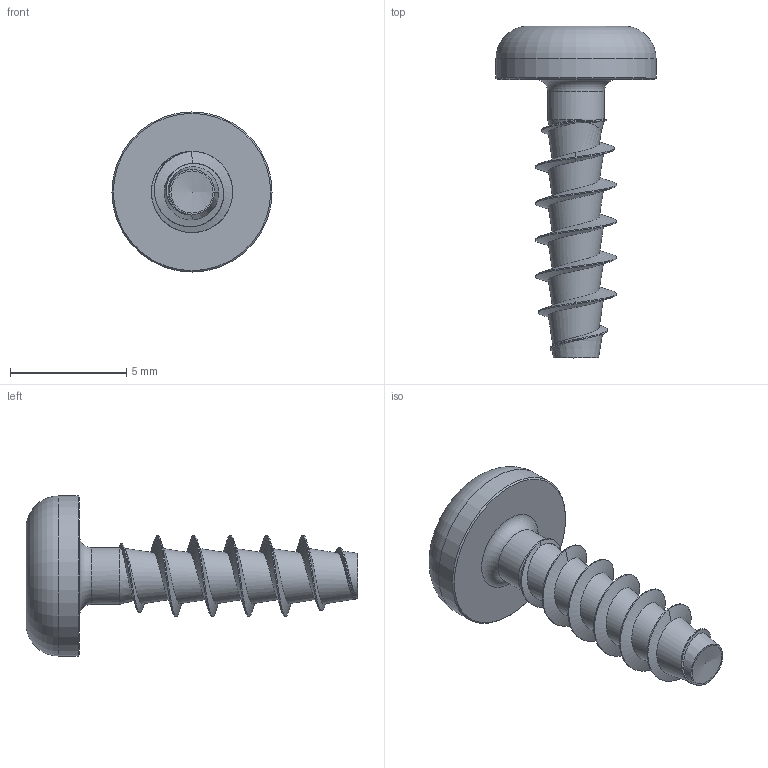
import cadquery as cq
import math


HEAD_DIAMETER = 6.9
HEAD_HEIGHT = 2.3
HEAD_CROWN_RADIUS = 1.4
HEAD_EDGE_CHAMFER = 0.06

SCREW_LENGTH = 12.0
SHANK_RADIUS = 1.225
SHANK_LENGTH = 1.73
NECK_FILLET = 0.5
CORE_RADIUS = 0.99
TIP_RADIUS = 0.975
TIP_DISH_RADIUS = 0.905
TIP_DISH_DEPTH = 0.1
TIP_ALLOWANCE = 0.2
RUN_IN_LENGTH = 0.9

PITCH = 1.57
CREST_RADIUS = 1.75
CREST_WIDTH = 0.05
FLANK_ANGLE = 15.0
THREAD_DEPTH = 0.8
TAPER_TURNS = 1.5
THREAD_TURNS = 7.0
LEAD_IN_TURNS = 0.5
LEAD_IN_RISE = 0.1
CREST_START_RADIUS = 1.22

RAMP_SLOPE = 0.155
RAMP_TOP_RADIUS = TIP_RADIUS + RAMP_SLOPE * PITCH
RAMP_LENGTH = 0.93 * PITCH
RAMP_INNER_RADIUS = 0.85

SPLINE_POINTS_PER_TURN = 24


def revolve_about_y(profile):
    return profile.close().revolve(360, (0, 0, 0), (0, 1, 0))


def helix_point(turns, axial_offset, radius):
    """Point on the helix, with turns counted from the tip, where the helix starts at -Z."""
    angle = -math.pi / 2 - 2 * math.pi * turns
    y = -SCREW_LENGTH + PITCH * turns + axial_offset
    return cq.Vector(radius * math.cos(angle), y, radius * math.sin(angle))


def helix_edge(first_turn, last_turn, first_corner, last_corner):
    """Helical edge whose axial offset and radius change evenly from one corner to the other."""
    steps = math.ceil((last_turn - first_turn) * SPLINE_POINTS_PER_TURN)
    points = []
    for step in range(steps + 1):
        share = step / steps
        turns = first_turn + share * (last_turn - first_turn)
        offset, radius = (a + share * (b - a) for a, b in zip(first_corner, last_corner))
        points.append(helix_point(turns, offset, radius))
    return cq.Edge.makeSpline(points)


def helical_solid(first_turn, last_turn, first_section, last_section):
    """Solid between two radial sections, each a list of (axial offset, radius) corners."""
    edges = [
        helix_edge(first_turn, last_turn, first_corner, last_corner)
        for first_corner, last_corner in zip(first_section, last_section)
    ]
    faces = [cq.Face.makeRuledSurface(edge, edges[i - 1]) for i, edge in enumerate(edges)]
    for turns, section in ((first_turn, first_section), (last_turn, last_section)):
        corners = [helix_point(turns, offset, radius) for offset, radius in section]
        faces.append(cq.Face.makeFromWires(cq.Wire.makePolygon(corners, close=True)))
    solid = cq.Solid.makeSolid(cq.Shell.makeShell(faces))
    return cq.Workplane(obj=solid.fix())


def make_head():
    radius = HEAD_DIAMETER / 2
    flat_radius = radius - HEAD_CROWN_RADIUS
    crown_base = HEAD_HEIGHT - HEAD_CROWN_RADIUS
    diagonal = HEAD_CROWN_RADIUS * math.sqrt(0.5)
    return revolve_about_y(
        cq.Workplane("XY")
        .lineTo(radius - HEAD_EDGE_CHAMFER, 0)
        .lineTo(radius, HEAD_EDGE_CHAMFER)
        .lineTo(radius, crown_base)
        .threePointArc((flat_radius + diagonal, crown_base + diagonal), (flat_radius, HEAD_HEIGHT))
        .lineTo(0, HEAD_HEIGHT)
    )


def make_shank():
    neck_offset = NECK_FILLET * (1 - math.sqrt(0.5))
    return revolve_about_y(
        cq.Workplane("XY")
        .lineTo(SHANK_RADIUS + NECK_FILLET, 0)
        .threePointArc((SHANK_RADIUS + neck_offset, -neck_offset), (SHANK_RADIUS, -NECK_FILLET))
        .lineTo(SHANK_RADIUS, -SHANK_LENGTH)
        .lineTo(0, -SHANK_LENGTH)
    )


def make_core():
    """Run-in cone and plain core, reaching past the tip."""
    core_end = -SCREW_LENGTH - TIP_ALLOWANCE
    return revolve_about_y(
        cq.Workplane("XY")
        .moveTo(0, -SHANK_LENGTH)
        .lineTo(SHANK_RADIUS, -SHANK_LENGTH)
        .lineTo(CORE_RADIUS, -SHANK_LENGTH - RUN_IN_LENGTH)
        .lineTo(CORE_RADIUS, core_end)
        .lineTo(0, core_end)
    )


def make_core_envelope():
    """Limit of the core: wide open, then a cone of the ramp's slope over the last turn."""
    outer_radius = HEAD_DIAMETER / 2
    cone_top = -SCREW_LENGTH + PITCH
    cone_end = -SCREW_LENGTH - TIP_ALLOWANCE
    return revolve_about_y(
        cq.Workplane("XY")
        .lineTo(outer_radius, 0)
        .lineTo(outer_radius, cone_top)
        .lineTo(RAMP_TOP_RADIUS, cone_top)
        .lineTo(TIP_RADIUS - RAMP_SLOPE * TIP_ALLOWANCE, cone_end)
        .lineTo(0, cone_end)
    )


def make_core_ramp():
    section = [
        (0, RAMP_INNER_RADIUS),
        (0, RAMP_TOP_RADIUS),
        (-RAMP_LENGTH, RAMP_TOP_RADIUS - RAMP_SLOPE * RAMP_LENGTH),
        (-RAMP_LENGTH, RAMP_INNER_RADIUS),
    ]
    return helical_solid(0, THREAD_TURNS, section, section)


def thread_section(crest_radius, axial_shift=0):
    half_crest = CREST_WIDTH / 2
    half_root = half_crest + THREAD_DEPTH * math.tan(math.radians(FLANK_ANGLE))
    root_radius = crest_radius - THREAD_DEPTH
    return [
        (axial_shift + half_root, root_radius),
        (axial_shift + half_crest, crest_radius),
        (axial_shift - half_crest, crest_radius),
        (axial_shift - half_root, root_radius),
    ]


def make_thread():
    """Thread in four stretches: tip taper, full depth, head-side taper and flattened lead-in."""
    lead_in_share = LEAD_IN_TURNS / TAPER_TURNS
    lead_in_radius = CREST_START_RADIUS + lead_in_share * (CREST_RADIUS - CREST_START_RADIUS)
    lead_in_shift = LEAD_IN_RISE - LEAD_IN_TURNS * PITCH
    stations = [
        (0, thread_section(TIP_RADIUS)),
        (TAPER_TURNS, thread_section(CREST_RADIUS)),
        (THREAD_TURNS - TAPER_TURNS, thread_section(CREST_RADIUS)),
        (THREAD_TURNS - LEAD_IN_TURNS, thread_section(lead_in_radius)),
        (THREAD_TURNS, thread_section(CREST_START_RADIUS, lead_in_shift)),
    ]
    stretches = [
        helical_solid(first_turn, last_turn, first_section, last_section)
        for (first_turn, first_section), (last_turn, last_section) in zip(stations, stations[1:])
    ]
    thread = stretches[0]
    for stretch in stretches[1:]:
        thread = thread.union(stretch, clean=False)
    return thread


def make_screw_zone():
    """Cylinder that bounds everything from the head seat to the flat tip."""
    return cq.Workplane("XZ").circle(HEAD_DIAMETER / 2).extrude(SCREW_LENGTH)


def make_tip_dish():
    """Shallow spherical hollow in the tip face."""
    ball_radius = (TIP_DISH_RADIUS**2 + TIP_DISH_DEPTH**2) / (2 * TIP_DISH_DEPTH)
    ball_center = -SCREW_LENGTH + TIP_DISH_DEPTH - ball_radius
    return cq.Workplane("XZ").sphere(ball_radius).translate((0, ball_center, 0))


def make_threaded_part():
    core = make_core().union(make_core_ramp(), clean=False)
    core = core.intersect(make_core_envelope(), clean=False)
    part = core.union(make_thread(), clean=False).intersect(make_screw_zone(), clean=False)
    return part.cut(make_tip_dish(), clean=False)


screw = make_head().union(make_shank()).union(make_threaded_part(), clean=False)
result = cq.Workplane(obj=screw.solids().val())